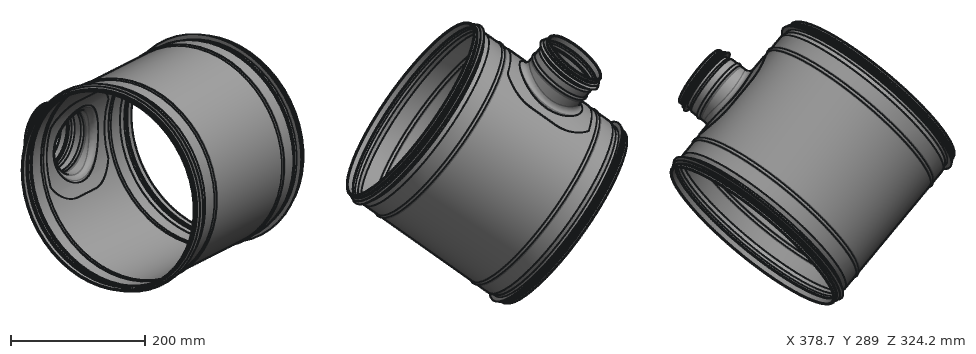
import cadquery as cq
import math

sheet = 0.55
hem_bend = 1.5
hem_length = 5.0
neck_end = 20.5
bead_half_width = 4.0
bead_height = 1.5
groove_half_width = 2.5

low_lip_start = 7.5
low_lip_crest = 9.5
low_lip_end = 10.5
low_lip_height = 2.5
high_lip_start = 12.5
high_lip_crest = 14.5
high_lip_height = 5.1
seal_end = 15.5

duct_radius = 314.0 / 2
duct_length = 289.0
duct_taper = 7.5
duct_bead = 55.3

overall_length = 378.7
branch_radius = 99.2 / 2
branch_end = overall_length - duct_radius - high_lip_height
branch_taper = 3.8
branch_bead = 38.3
branch_root_length = 44.0
branch_root_end = branch_end - branch_root_length

plate_size = 152.5
plate_flat = 45.5
plate_corner_radius = 63.5
plate_radius = duct_radius + sheet
saddle_fillet = 9.5


def revolve_about_x(profile):
    """Turn a (distance from the open end, radius) profile into a ring around X."""
    return profile.close().revolve(360, (0, 0, 0), (1, 0, 0))


def inner_bead(center, radius):
    """Start, crown and end of the groove pressed into the inner surface."""
    return (
        (center - groove_half_width, radius),
        (center, radius + bead_height),
        (center + groove_half_width, radius),
    )


def outer_bead(center, radius):
    """Foot, mid-blend, shoulder, crown, shoulder, mid-blend and foot of the raised bead."""
    groove_arc = (groove_half_width**2 + bead_height**2) / (2 * bead_height)
    crown_arc = groove_arc + sheet
    depth = crown_arc - bead_height
    foot_arc = (bead_half_width**2 + depth**2 - crown_arc**2) / (2 * (crown_arc - depth))
    lean = math.atan2(bead_half_width, foot_arc + depth)

    def on_foot_arc(angle):
        return (
            bead_half_width - foot_arc * math.sin(angle),
            radius + foot_arc * (1 - math.cos(angle)),
        )

    side = [on_foot_arc(angle) for angle in (0, lean / 2, lean)]
    left = [(center - along, height) for along, height in side]
    right = [(center + along, height) for along, height in reversed(side)]
    return [*left, (center, radius + bead_height), *right]


def hemmed_pipe(radius, length, taper, bead_center):
    """Pipe with a folded hem, a narrower neck for the seal, a taper and a raised bead."""
    inner = radius - sheet
    neck_inner = radius - 2 * hem_bend
    neck_outer = neck_inner + sheet
    taper_end = neck_end + taper
    groove_start, groove_crown, groove_end = inner_bead(bead_center, inner)
    near_foot, near_blend, near_shoulder, crown, far_shoulder, far_blend, far_foot = outer_bead(
        bead_center, radius
    )
    profile = (
        cq.Workplane("XY")
        .moveTo(hem_length, radius)
        .lineTo(hem_bend, radius)
        .threePointArc((0, radius - hem_bend), (hem_bend, neck_inner))
        .lineTo(neck_end, neck_inner)
        .lineTo(taper_end, inner)
        .lineTo(*groove_start)
        .threePointArc(groove_crown, groove_end)
        .lineTo(length, inner)
        .lineTo(length, radius)
        .lineTo(*far_foot)
        .threePointArc(far_blend, far_shoulder)
        .threePointArc(crown, near_shoulder)
        .threePointArc(near_blend, near_foot)
        .lineTo(taper_end, radius)
        .lineTo(neck_end, neck_outer)
        .lineTo(hem_bend, neck_outer)
        .threePointArc((sheet, radius - hem_bend), (hem_bend, inner))
        .lineTo(hem_length, inner)
    )
    return revolve_about_x(profile)


def lip_seal(radius):
    """Ring on the neck: a strip that fills the hem, then a low sloping lip and a high lip."""
    inner = radius - 2 * hem_bend + sheet
    base = inner + sheet
    hem_inner = radius - sheet
    profile = (
        cq.Workplane("XY")
        .moveTo(hem_bend, inner)
        .lineTo(hem_bend, hem_inner)
        .lineTo(low_lip_start, hem_inner)
        .lineTo(low_lip_crest, radius + low_lip_height)
        .lineTo(low_lip_end, radius + low_lip_height)
        .lineTo(low_lip_end, base)
        .lineTo(high_lip_start, base)
        .lineTo(high_lip_crest, radius + high_lip_height)
        .lineTo(seal_end, radius + high_lip_height)
        .lineTo(seal_end, inner)
    )
    return revolve_about_x(profile)


def duct_cylinder(radius):
    """Solid cylinder along the whole duct."""
    return cq.Workplane("XZ").circle(radius).extrude(duct_length / 2, both=True)


def branch_cylinder(radius):
    """Solid cylinder from the duct axis to the root end of the branch."""
    return cq.Workplane("YZ").circle(radius).extrude(-branch_root_end)


def make_duct():
    """Two hemmed halves joined at mid-length, with a hole as wide as the flare of the saddle."""
    half = hemmed_pipe(duct_radius, duct_length / 2, duct_taper, duct_bead)
    half = half.translate((-duct_length / 2, 0, 0))
    pipe = half.union(half.rotate((0, 0, 0), (0, 1, 0), 180))
    pipe = pipe.rotate((0, 0, 0), (0, 0, 1), 90)
    return pipe.cut(branch_cylinder(branch_radius + saddle_fillet))


def plate_outline():
    """Plate edge: straight sides, with corner arcs running tangentially into top and bottom."""
    side = plate_size / 2
    flat = plate_flat / 2
    end_angle = math.acos((side - flat) / plate_corner_radius)
    mid_angle = (end_angle + math.pi / 2) / 2

    def on_corner_arc(angle):
        return (
            flat + plate_corner_radius * math.cos(angle),
            side - plate_corner_radius * (1 - math.sin(angle)),
        )

    end_y, end_z = on_corner_arc(end_angle)
    mid_y, mid_z = on_corner_arc(mid_angle)
    return (
        cq.Workplane("YZ")
        .moveTo(-flat, side)
        .lineTo(flat, side)
        .threePointArc((mid_y, mid_z), (end_y, end_z))
        .lineTo(end_y, -end_z)
        .threePointArc((mid_y, -mid_z), (flat, -side))
        .lineTo(-flat, -side)
        .threePointArc((-mid_y, -mid_z), (-end_y, -end_z))
        .lineTo(-end_y, end_z)
        .threePointArc((-mid_y, mid_z), (-flat, side))
        .close()
    )


def flared_tee(body_radius, pipe_radius, fillet):
    """Solid cylinder along Y, joined to a cylinder along -X by a fillet."""
    tee = duct_cylinder(body_radius).union(branch_cylinder(pipe_radius))
    joint = cq.selectors.BoxSelector(
        (-body_radius, -pipe_radius, -pipe_radius),
        (-body_radius + pipe_radius, pipe_radius, pipe_radius),
    )
    return tee.edges(joint).fillet(fillet)


def make_saddle():
    """Thin plate on the duct, flaring into the hemmed branch pipe."""
    outside = flared_tee(plate_radius, branch_radius, saddle_fillet)
    inside = flared_tee(duct_radius, branch_radius - sheet, saddle_fillet + sheet)
    root = outside.cut(inside).intersect(plate_outline().extrude(-branch_end))
    pipe = hemmed_pipe(branch_radius, branch_root_length, branch_taper, branch_bead)
    return root.union(pipe.translate((-branch_end, 0, 0)))


duct = make_duct()
saddle = make_saddle()
branch_seal = lip_seal(branch_radius).translate((-branch_end, 0, 0))

duct_seals = []
for end_angle in (90, -90):
    seal = lip_seal(duct_radius).translate((-duct_length / 2, 0, 0))
    duct_seals.append(seal.rotate((0, 0, 0), (0, 0, 1), end_angle))

result = cq.Compound.makeCompound(
    [duct.val(), saddle.val(), branch_seal.val(), *[seal.val() for seal in duct_seals]]
)